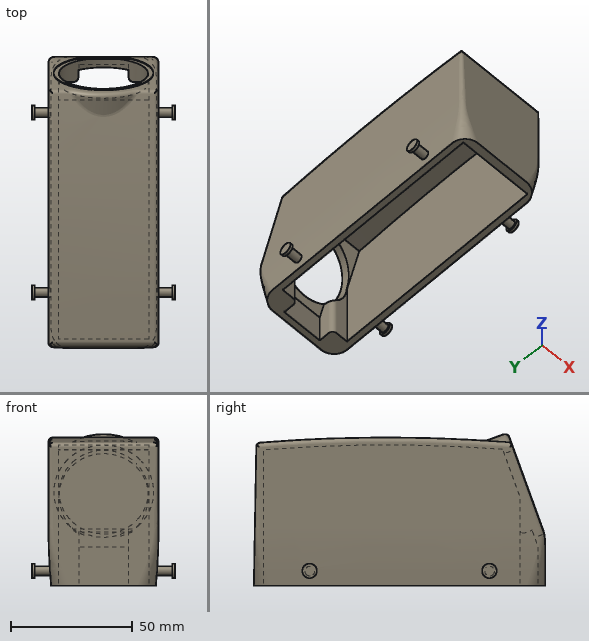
import math

import cadquery as cq

length = 120.0
height = 62.52
half_length = length / 2
half_width = 22.7
wall = 3.0
band_height = 6.8
shoulder_height = 23.6
side_inset = 0.6
front_draft = 1.0
loft_steps = 5

foot_corner = 7.6
band_corner = 5.3
shoulder_corner = 2.0
top_corner = 1.0
roof_edge_radius = 2.0

slope = 20.0
slope_start = 20.7
slope_blend = 2.9

crown_height = 61.15
crown_y = -5.5
crown_radius = 640.0
blank_height = 66.0

entry_y = 53.4
bore_diameter = 36.7
rim_diameter = 41.1
rim_depth = 0.3
bore_depth = 22.0
boss_half_width = 18.0
boss_length = 30.0
boss_depth = 5.0

cavity_half_width = 18.6
slope_wall = 4.4
front_wall = 4.0
niche_half_width = 10.25
pillar_face_y = 49.5
pillar_corner = 2.3

pin_y = 37.0
pin_z = 6.2
pin_diameter = 4.0
head_diameter = 6.0
head_thickness = 1.3
pin_tip_x = 29.5
pin_root_x = 20.0

slope_tan = math.tan(math.radians(slope))
slope_cos = math.cos(math.radians(slope))
slope_sin = math.sin(math.radians(slope))
entry_z = slope_start + (half_length - entry_y) / slope_tan

rim_top_offset = roof_edge_radius * (1 - slope_sin)
boss_radius = roof_edge_radius + (height - entry_z - rim_top_offset) / slope_cos


def side_x(z):
    """Half width of the hood: upright, then a parabola, then a straight taper."""
    drop = (shoulder_height - z) / (shoulder_height - band_height)
    if drop <= 0:
        return half_width
    if drop <= 1:
        return half_width - side_inset * drop ** 2
    return half_width - side_inset * (2 * drop - 1)


def corner_radius(z):
    """Radius between side and end walls: slim at the roof, growing towards the foot."""
    drop = (shoulder_height - z) / (shoulder_height - band_height)
    if drop <= 0:
        rise = (z - shoulder_height) / (blank_height - shoulder_height)
        return shoulder_corner + (top_corner - shoulder_corner) * rise
    if drop <= 1:
        return shoulder_corner + (band_corner - shoulder_corner) * drop ** 2
    return band_corner + (foot_corner - band_corner) * (band_height - z) / band_height


def front_y(z):
    return -half_length + z * math.tan(math.radians(front_draft))


def back_y(z):
    """Upright wall that rolls over smoothly into the slope."""
    above = z - slope_start
    if above <= -slope_blend:
        return half_length
    if above >= slope_blend:
        return half_length - above * slope_tan
    return half_length - slope_tan * (above + slope_blend) ** 2 / (4 * slope_blend)


def rectangle(z):
    """Sharp-cornered outline of the hood at height z."""
    x = side_x(z)
    corners = [(-x, front_y(z)), (x, front_y(z)), (x, back_y(z)), (-x, back_y(z))]
    return cq.Workplane("XY", origin=(0, 0, z)).polyline(corners).close().val()


def rounded_rectangle(z):
    """Outline of the hood at height z with its corners rounded."""
    x = side_x(z)
    r = corner_radius(z)
    bend = r * (1 - math.sqrt(0.5))
    y0 = front_y(z)
    y1 = back_y(z)
    plane = cq.Workplane("XY", origin=(0, 0, z))
    return (
        plane.moveTo(-x + r, y0)
        .lineTo(x - r, y0)
        .threePointArc((x - bend, y0 + bend), (x, y0 + r))
        .lineTo(x, y1 - r)
        .threePointArc((x - bend, y1 - bend), (x - r, y1))
        .lineTo(-x + r, y1)
        .threePointArc((-x + bend, y1 - bend), (-x, y1 - r))
        .lineTo(-x, y0 + r)
        .threePointArc((-x + bend, y0 + bend), (-x + r, y0))
        .close()
        .val()
    )


def loft(outlines, ruled):
    return cq.Workplane(cq.Solid.makeLoft(outlines, ruled))


def crown(drop):
    """Large horizontal cylinder whose top is the roof surface, lowered by drop."""
    return (
        cq.Workplane("YZ", origin=(0, crown_y, crown_height - crown_radius))
        .circle(crown_radius - drop)
        .extrude(half_length, both=True)
    )


def entry_plane():
    """Plane on the sloped wall, centred on the cable entry, normal pointing out."""
    normal = (0, slope_cos, slope_sin)
    return cq.Workplane(cq.Plane((0, entry_y, entry_z), (1, 0, 0), normal))


def make_boss():
    """Upper cap of the round boss behind the sloped wall, rising above the roof."""
    cap = cq.Workplane("XY", origin=(0, entry_y, crown_height - boss_depth)).box(
        2 * boss_half_width, 2 * boss_length, 2 * boss_depth, centered=(True, True, False)
    )
    return entry_plane().circle(boss_radius).extrude(-boss_length).intersect(cap)


def make_upper():
    """Upright part with roof and boss: roof edges rounded first, then the wall corners."""
    heights = [shoulder_height, blank_height]
    block = loft([rectangle(z) for z in heights], True).intersect(crown(0)).union(make_boss())
    roof_zone = cq.selectors.BoxSelector(
        (-half_length, -half_length, crown_height - boss_depth),
        (half_length, half_length, blank_height),
    )
    block = block.edges(roof_zone).fillet(roof_edge_radius)
    return block.intersect(loft([rounded_rectangle(z) for z in heights], True))


def make_hood():
    """Solid outer body: tapered foot band, curved middle and upright upper part."""
    rise = shoulder_height - band_height
    curved_heights = [band_height + rise * i / loft_steps for i in range(loft_steps + 1)]
    foot = loft([rounded_rectangle(z) for z in (0, band_height)], True)
    middle = loft([rounded_rectangle(z) for z in curved_heights], False)
    return foot.union(middle).union(make_upper())


def make_cavity():
    """Inner space, open at the foot, with a narrow niche between two pillars at the +Y end."""
    inner_front = -half_length + front_wall
    room = (
        cq.Workplane("XY")
        .moveTo(0, (inner_front + pillar_face_y) / 2)
        .rect(2 * cavity_half_width, pillar_face_y - inner_front)
        .extrude(blank_height)
    )
    niche = (
        cq.Workplane("XY")
        .moveTo(0, half_length / 2)
        .rect(2 * niche_half_width, half_length)
        .extrude(blank_height)
    )
    cavity = room.union(niche)
    mouth = cq.selectors.BoxSelector(
        (-niche_half_width - pillar_corner, pillar_face_y - pillar_corner, 0),
        (niche_half_width + pillar_corner, pillar_face_y + pillar_corner, blank_height),
    )
    cavity = cavity.edges("|Z").edges(mouth).fillet(pillar_corner)
    inner_back = half_length - wall
    slope_foot_y = half_length - slope_wall / slope_cos + slope_start * slope_tan
    side = (
        cq.Workplane("YZ")
        .moveTo(-half_length, 0)
        .lineTo(inner_back, 0)
        .lineTo(inner_back, (slope_foot_y - inner_back) / slope_tan)
        .lineTo(slope_foot_y - blank_height * slope_tan, blank_height)
        .lineTo(-half_length, blank_height)
        .close()
        .extrude(half_width, both=True)
    )
    return cavity.intersect(side).intersect(crown(wall))


def make_bore():
    """Stepped round opening square to the sloped wall, reaching past the pillars."""
    bore = entry_plane().circle(bore_diameter / 2).extrude(-bore_depth)
    rim = entry_plane().circle(rim_diameter / 2).extrude(-rim_depth)
    return bore.union(rim)


def make_pin(side, y):
    """Headed locking pin on the side wall at side * X."""
    shaft_length = pin_tip_x - pin_root_x
    plane = cq.Workplane("YZ", origin=(side * pin_root_x, y, pin_z))
    shaft = plane.circle(pin_diameter / 2).extrude(side * shaft_length)
    plane = cq.Workplane("YZ", origin=(side * pin_tip_x, y, pin_z))
    head = plane.circle(head_diameter / 2).extrude(-side * head_thickness)
    return shaft.union(head)


def make_part():
    part = make_hood()
    part = part.cut(make_cavity()).cut(make_bore())
    for side in (-1, 1):
        for y in (-pin_y, pin_y):
            part = part.union(make_pin(side, y))
    return part


result = make_part()